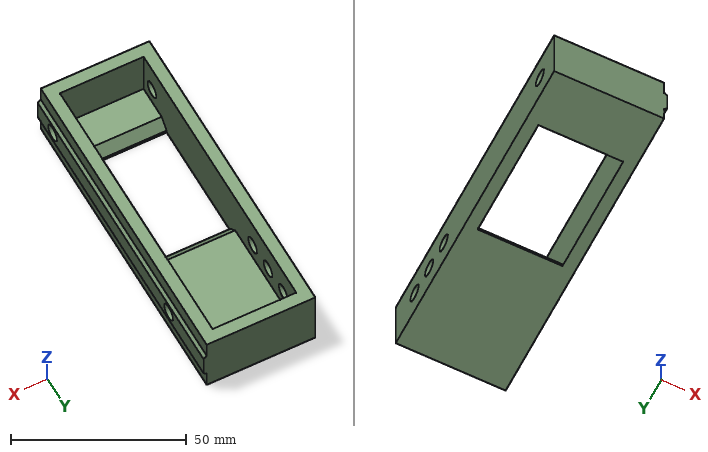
import cadquery as cq

length = 100.5
height = 20.0
overall_width = 36.0
rail_depth = 1.0
body_width = overall_width - rail_depth
wall = 4.0

floor_thickness = 4.0
opening_start = 18.0
opening_end = 56.5
bevel = 3.0

rail_root_height = 9.0
rail_tip_height = rail_root_height - 2 * rail_depth

hole_diameter = 5.2
end_hole_y = 9.0
middle_hole_y = 79.3
hole_pitch = 9.2

middle_z = height / 2
inner_width = body_width - 2 * wall


def make_frame():
    """Open-topped box with four equal walls and a closed floor."""
    body = cq.Workplane("XY").box(body_width, length, height, centered=False)
    pocket = (
        cq.Workplane("XY")
        .box(inner_width, length - 2 * wall, height, centered=False)
        .translate((wall, wall, floor_thickness))
    )
    return body.cut(pocket)


def make_floor_opening():
    """Straight-sided opening that widens at 45 degrees towards the floor's top."""
    lip = floor_thickness - bevel
    return (
        cq.Workplane("YZ", origin=(wall, 0, 0))
        .polyline([
            (opening_start, 0),
            (opening_end, 0),
            (opening_end, lip),
            (opening_end + bevel, floor_thickness),
            (opening_start - bevel, floor_thickness),
            (opening_start, lip),
        ])
        .close()
        .extrude(inner_width)
    )


def make_rail():
    """Full-length trapezoidal rail on the +X wall."""
    root = rail_root_height / 2
    tip = rail_tip_height / 2
    return (
        cq.Workplane("XZ", origin=(body_width, 0, middle_z))
        .polyline([(0, -root), (rail_depth, -tip), (rail_depth, tip), (0, root)])
        .close()
        .extrude(-length)
    )


def make_cross_hole(y, depth):
    """Drill along +X from the -X face."""
    return (
        cq.Workplane("YZ", origin=(0, y, middle_z))
        .circle(hole_diameter / 2)
        .extrude(depth)
    )


result = make_frame().union(make_rail()).cut(make_floor_opening())

for hole_y in (end_hole_y, middle_hole_y):
    result = result.cut(make_cross_hole(hole_y, overall_width))

for side in (-1, 1):
    result = result.cut(make_cross_hole(middle_hole_y + side * hole_pitch, wall))